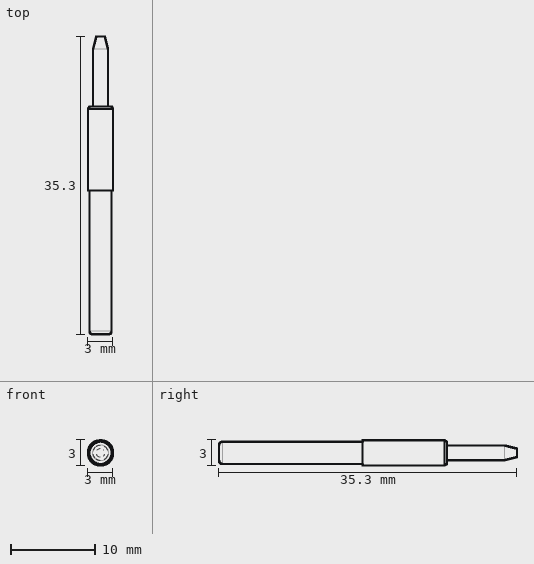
import cadquery as cq

total_length = 35.3
barrel_length = 17.0
collar_length = 10.0
tip_length = 1.52

barrel_diameter = 2.65
collar_diameter = 3.0
pin_diameter = 1.8
tip_diameter = 1.02

barrel_end_radius = 0.4
collar_chamfer_length = 0.32
collar_chamfer_depth = 0.195

collar_end = barrel_length + collar_length
collar_chamfer_start = collar_end - collar_chamfer_length
tip_start = total_length - tip_length

barrel_radius = barrel_diameter / 2
collar_radius = collar_diameter / 2
pin_radius = pin_diameter / 2
tip_radius = tip_diameter / 2

half_profile = (
    cq.Workplane("XY")
    .lineTo(barrel_radius - barrel_end_radius, 0)
    .radiusArc((barrel_radius, barrel_end_radius), -barrel_end_radius)
    .lineTo(barrel_radius, barrel_length)
    .lineTo(collar_radius, barrel_length)
    .lineTo(collar_radius, collar_chamfer_start)
    .lineTo(collar_radius - collar_chamfer_depth, collar_end)
    .lineTo(pin_radius, collar_end)
    .lineTo(pin_radius, tip_start)
    .lineTo(tip_radius, total_length)
    .lineTo(0, total_length)
    .close()
)

result = half_profile.revolve(360, (0, 0, 0), (0, 1, 0))